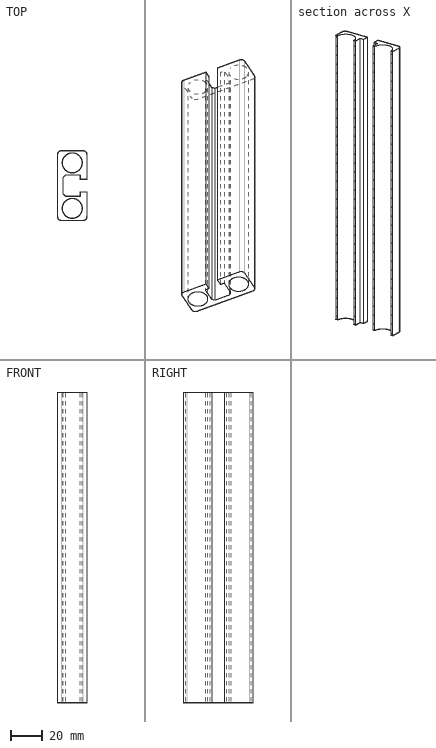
import cadquery as cq

WIDTH = 19.0
DEPTH = 45.0
LENGTH = 200.0
CORNER_RADIUS = 2.5

BORE_DIAMETER = 12.7
BORE_OFFSET = 14.65

BACK_WALL = 3.7
LIP_THICKNESS = 4.5
CHANNEL_WIDTH = 13.6
CHANNEL_CHAMFER = 1.5
MOUTH_WIDTH = 8.2


def make_bar():
    """Rectangular bar with rounded long edges, standing on Z = 0."""
    bar = cq.Workplane("XY").rect(WIDTH, DEPTH).extrude(LENGTH)
    return bar.edges("|Z").fillet(CORNER_RADIUS)


def make_bores():
    """Two round bores running the full length."""
    centers = [(0, -BORE_OFFSET), (0, BORE_OFFSET)]
    return cq.Workplane("XY").pushPoints(centers).circle(BORE_DIAMETER / 2).extrude(LENGTH)


def make_slot():
    """Wide inner channel, chamfered along the back wall, with a narrower mouth."""
    channel_back = -WIDTH / 2 + BACK_WALL
    channel_front = WIDTH / 2 - LIP_THICKNESS
    channel = (
        cq.Workplane("XY")
        .center((channel_back + channel_front) / 2, 0)
        .rect(channel_front - channel_back, CHANNEL_WIDTH)
        .extrude(LENGTH)
        .edges("|Z and <X")
        .chamfer(CHANNEL_CHAMFER)
    )
    mouth = (
        cq.Workplane("XY")
        .center(channel_front + LIP_THICKNESS / 2, 0)
        .rect(LIP_THICKNESS, MOUTH_WIDTH)
        .extrude(LENGTH)
    )
    return channel.union(mouth)


result = make_bar().cut(make_bores()).cut(make_slot())